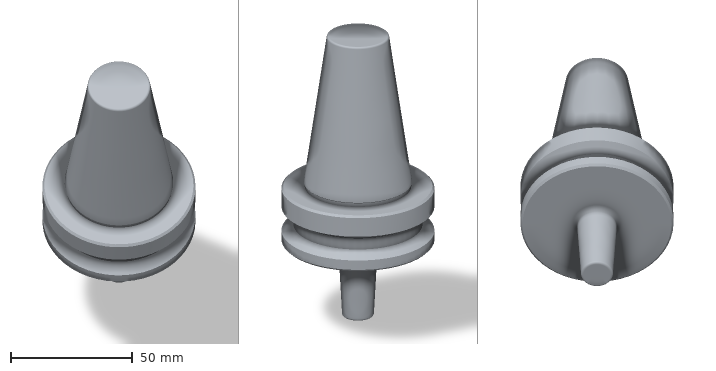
import cadquery as cq
import math

total_height = 125.4
gauge_height = 60.0
flange_bottom = 33.0
flange_top = 57.9

gauge_radius = 22.3
taper_slope = 7 / 48
taper_top_radius = gauge_radius - taper_slope * (total_height - gauge_height)
taper_top_round = 0.9

neck_radius = 22.0
neck_bevel = gauge_radius - neck_radius

flange_radius = 31.5
flange_chamfer = 0.9
groove_root_radius = 26.6
groove_center = 43.4
groove_root_width = 5.0
groove_wall_angle = 30.0
groove_root_half = groove_root_width / 2
groove_wall_rise = (flange_radius - groove_root_radius) * math.tan(math.radians(groove_wall_angle))
groove_mouth_half = groove_root_half + groove_wall_rise

nose_tip_radius = 6.5
nose_half_angle = 3.0
nose_base_radius = nose_tip_radius + flange_bottom * math.tan(math.radians(nose_half_angle))
nose_tip_round = 1.0
nose_base_round = 1.9

profile = [
    (0, 0),
    (nose_tip_radius, 0),
    (nose_base_radius, flange_bottom),
    (flange_radius - flange_chamfer, flange_bottom),
    (flange_radius, flange_bottom + flange_chamfer),
    (flange_radius, groove_center - groove_mouth_half),
    (groove_root_radius, groove_center - groove_root_half),
    (groove_root_radius, groove_center + groove_root_half),
    (flange_radius, groove_center + groove_mouth_half),
    (flange_radius, flange_top - flange_chamfer),
    (flange_radius - flange_chamfer, flange_top),
    (neck_radius, flange_top),
    (neck_radius, gauge_height - neck_bevel),
    (gauge_radius, gauge_height),
    (taper_top_radius, total_height),
    (0, total_height),
]
body = cq.Workplane("XZ").polyline(profile).close().revolve(360, (0, 0, 0), (0, 1, 0))


def round_circle(solid, radius, height, fillet):
    """Fillet the circular edge of the given radius at the given height."""
    margin = 0.1
    inner = cq.selectors.BoxSelector(
        (-radius - margin, -radius - margin, height - margin),
        (radius + margin, radius + margin, height + margin),
        boundingbox=True,
    )
    return solid.edges("%CIRCLE").edges(inner).fillet(fillet)


body = round_circle(body, taper_top_radius, total_height, taper_top_round)
body = round_circle(body, nose_tip_radius, 0, nose_tip_round)
result = round_circle(body, nose_base_radius, flange_bottom, nose_base_round)